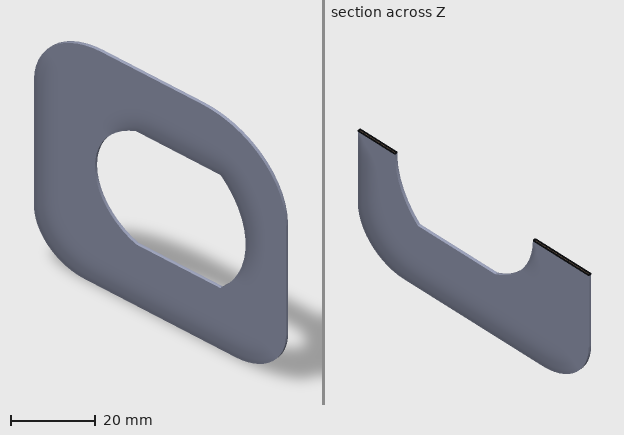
import cadquery as cq
import math

side = 75.0
thickness = 0.8
top_left_radius = 20.0
top_right_radius = 25.0
bottom_radius = 15.0

opening_height = 36.0
left_arc_radius = 19.35
right_arc_radius = 25.5


def round_corner(plate, x_sign, z_sign, radius):
    """Round the plate edge parallel to Y at the given corner."""
    corner = (x_sign * side / 2, 0, z_sign * side / 2)
    return plate.edges(cq.selectors.NearestToPointSelector(corner)).fillet(radius)


def opening_cutter():
    half_height = opening_height / 2
    left_x = -math.sqrt(left_arc_radius**2 - half_height**2)
    right_x = math.sqrt(right_arc_radius**2 - half_height**2)
    return (
        cq.Workplane("XZ")
        .moveTo(left_x, half_height)
        .lineTo(right_x, half_height)
        .threePointArc((right_arc_radius, 0), (right_x, -half_height))
        .lineTo(left_x, -half_height)
        .threePointArc((-left_arc_radius, 0), (left_x, half_height))
        .close()
        .extrude(thickness, both=True)
    )


plate = cq.Workplane("XY").box(side, thickness, side)
plate = round_corner(plate, -1, 1, top_left_radius)
plate = round_corner(plate, 1, 1, top_right_radius)
for x_sign in (-1, 1):
    plate = round_corner(plate, x_sign, -1, bottom_radius)

result = plate.cut(opening_cutter())